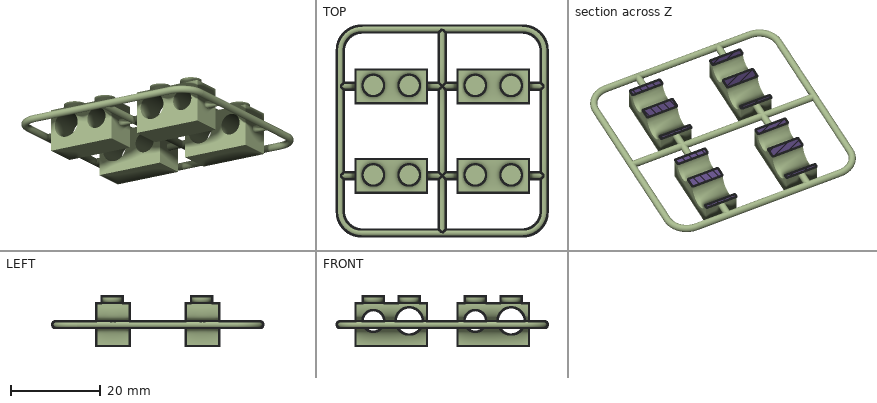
import cadquery as cq

FRAME_SIZE = 47.2
RUNNER_DIAMETER = 1.6
CORNER_RADIUS = 4.8
RUNNER_OFFSET = (FRAME_SIZE - RUNNER_DIAMETER) / 2

STUD_PITCH = 8.02
BRICK_LENGTH = 2 * STUD_PITCH
BRICK_DEPTH = 7.6
BRICK_HEIGHT = 9.6
STUD_DIAMETER = 4.8
STUD_HEIGHT = 1.6
STUD_SHIFT_Y = 0.2
HOLE_HEIGHT = 5.6
SMALL_HOLE_DIAMETER = 4.8
LARGE_HOLE_DIAMETER = 6.05

BRICK_OFFSET_X = RUNNER_OFFSET / 2
BRICK_OFFSET_Y = 10.0
RUNNER_HEIGHT = BRICK_HEIGHT / 2
BRICK_CENTRES = [
    (side_x * BRICK_OFFSET_X, side_y * BRICK_OFFSET_Y) for side_x in (-1, 1) for side_y in (-1, 1)
]


def make_rod(start, end):
    """Straight round runner between two (x, y) points at runner height."""
    start_point = cq.Vector(*start, RUNNER_HEIGHT)
    axis = cq.Vector(*end, RUNNER_HEIGHT) - start_point
    return cq.Workplane(cq.Solid.makeCylinder(RUNNER_DIAMETER / 2, axis.Length, start_point, axis))


def make_outer_ring():
    """Closed square runner with rounded corners: four rods joined by quarter bends."""
    straight_end = RUNNER_OFFSET - CORNER_RADIUS
    side = make_rod((-straight_end, -RUNNER_OFFSET), (straight_end, -RUNNER_OFFSET))
    bend = (
        cq.Workplane("XZ", origin=(straight_end, -straight_end, RUNNER_HEIGHT))
        .center(CORNER_RADIUS, 0)
        .circle(RUNNER_DIAMETER / 2)
        .revolve(90, (-CORNER_RADIUS, 0), (-CORNER_RADIUS, -1))
    )
    quarter = side.union(bend)
    ring = quarter
    for turn in (90, 180, 270):
        ring = ring.union(quarter.rotate((0, 0, 0), (0, 0, 1), turn))
    return ring


def make_frame():
    """Outer ring, middle runner along Y, and short gates that end on the brick faces."""
    frame = make_outer_ring().union(make_rod((0, -RUNNER_OFFSET), (0, RUNNER_OFFSET)))
    for side_y in (-1, 1):
        y = side_y * BRICK_OFFSET_Y
        inner_face = BRICK_OFFSET_X - BRICK_LENGTH / 2
        outer_face = BRICK_OFFSET_X + BRICK_LENGTH / 2
        frame = frame.union(make_rod((-inner_face, y), (inner_face, y)))
        for side_x in (-1, 1):
            frame = frame.union(make_rod((side_x * RUNNER_OFFSET, y), (side_x * outer_face, y)))
    return frame


def make_brick(centre_x, centre_y):
    """Brick standing on Z = 0 with two studs on top and a small and a large cross hole."""
    block = cq.Workplane("XY").box(BRICK_LENGTH, BRICK_DEPTH, BRICK_HEIGHT, centered=(True, True, False))
    studs = (
        cq.Workplane("XY", origin=(0, STUD_SHIFT_Y, BRICK_HEIGHT))
        .rarray(STUD_PITCH, 0.45, 2, 1)
        .circle(STUD_DIAMETER / 2)
        .extrude(STUD_HEIGHT)
    )
    brick = block.union(studs)
    holes = ((-STUD_PITCH / 2, SMALL_HOLE_DIAMETER), (STUD_PITCH / 2, LARGE_HOLE_DIAMETER))
    for hole_x, diameter in holes:
        hole = (
            cq.Workplane("XZ", origin=(hole_x, BRICK_DEPTH / 2, HOLE_HEIGHT))
            .circle(diameter / 2)
            .extrude(BRICK_DEPTH)
        )
        brick = brick.cut(hole)
    return brick.translate((centre_x, centre_y, 0))


frame = make_frame()
bricks = [make_brick(x, y) for x, y in BRICK_CENTRES]

result = cq.Compound.makeCompound([frame.solids().val(), *[brick.solids().val() for brick in bricks]])